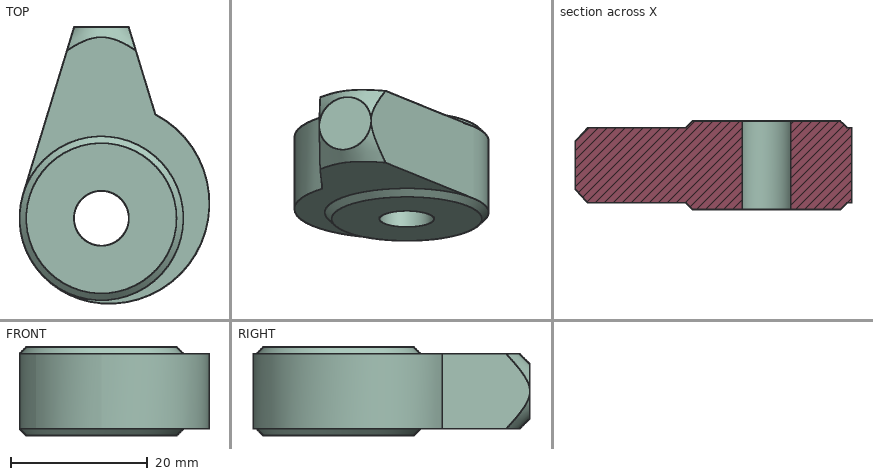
import cadquery as cq
import math

hub_radius = 12.0
hub_height = 13.0
hub_chamfer = 1.0
bore_diameter = 8.0
body_thickness = hub_height - 2 * hub_chamfer

tip_distance = 28.0
tip_half_width = 4.0

cam_start_angle = math.radians(-142.7)
cam_bottom_radius = 12.47
cam_end_height = 15.2


def polar(radius, angle):
    return (radius * math.cos(angle), radius * math.sin(angle))


tip_angle = math.atan2(tip_distance, -tip_half_width)
tangent_angle = tip_angle + math.acos(hub_radius / math.hypot(tip_half_width, tip_distance))
flank_start = polar(hub_radius, tangent_angle)
flank_slope = (-tip_half_width - flank_start[0]) / (tip_distance - flank_start[1])

cam_end = (tip_half_width + (tip_distance - cam_end_height) * flank_slope, cam_end_height)


def make_body():
    """Flat plate: tapered arm, hub side and the cam lobe made of two tangent arcs."""
    hub_side_middle = polar(hub_radius, math.pi)
    outline = (
        cq.Workplane("XY")
        .workplane(offset=-body_thickness / 2)
        .moveTo(tip_half_width, tip_distance)
        .lineTo(-tip_half_width, tip_distance)
        .lineTo(*flank_start)
        .threePointArc(hub_side_middle, polar(hub_radius, cam_start_angle))
        .tangentArcPoint((0, -cam_bottom_radius), relative=False)
        .tangentArcPoint(cam_end, relative=False)
        .close()
    )
    return outline.extrude(body_thickness)


def make_tip_cone():
    """45 degree cone about the Y axis that bounds the tip, wide enough to clear the rest."""
    cone_length = tip_distance + 2 * hub_radius
    base_y = tip_distance - cone_length
    return (
        cq.Workplane("XY")
        .moveTo(0, base_y)
        .lineTo(tip_half_width + cone_length, base_y)
        .lineTo(tip_half_width, tip_distance)
        .lineTo(0, tip_distance)
        .close()
        .revolve(360, (0, 0, 0), (0, 1, 0))
    )


def make_hub():
    """Round hub standing proud of both plate faces, with chamfered rims."""
    return (
        cq.Workplane("XY")
        .circle(hub_radius)
        .extrude(hub_height / 2, both=True)
        .faces("|Z")
        .edges()
        .chamfer(hub_chamfer)
    )


def make_bore():
    return cq.Workplane("XY").circle(bore_diameter / 2).extrude(hub_height, both=True)


body = make_body().intersect(make_tip_cone())
result = body.union(make_hub()).cut(make_bore())